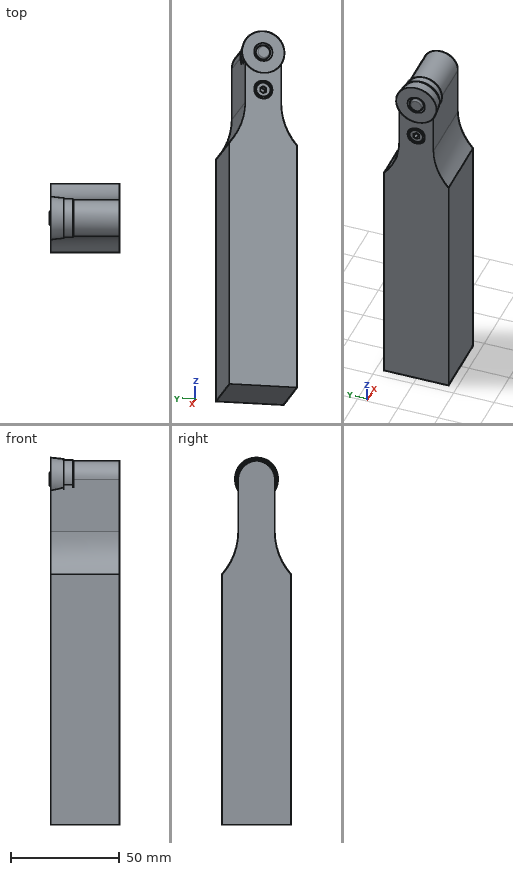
import cadquery as cq
import math

shank_size = 32.0
shank_height = 116.0
neck_width = 17.0
neck_radius = neck_width / 2
flare_radius = 30.0

insert_radius = 10.0
insert_back_radius = 9.4
insert_thickness = 6.1
shim_diameter = 17.8
shim_radius = shim_diameter / 2
shim_thickness = 4.6
shim_chamfer = 0.5
total_height = 170.0
axis_z = total_height - insert_radius

screw_diameter = 6.6
screw_radius = screw_diameter / 2
screw_length = 20.4
screw_protrusion = 0.5
screw_edge_radius = 0.7

lower_screw_z = 142.0
lower_screw_diameter = 8.0
lower_screw_radius = lower_screw_diameter / 2
lower_screw_length = 13.6
lower_screw_chamfer = 0.7
socket_corner_diameter = 3.2
socket_depth = 3.4

countersink_diameter = 8.7
countersink_radius = countersink_diameter / 2
insert_countersink_depth = 1.0
lower_countersink_depth = countersink_radius - lower_screw_radius

pocket_depth = insert_thickness + shim_thickness
half_shank = shank_size / 2
flare_width = half_shank - neck_radius
flare_angle = math.acos(1 - flare_width / flare_radius)
flare_top = shank_height + flare_radius * math.sin(flare_angle)


def cylinder(radius, start_x, length, z):
    """Cylinder along +X, centred on y = 0 at height z."""
    return cq.Workplane("YZ", origin=(start_x, 0, z)).circle(radius).extrude(length)


def cone(start_radius, end_radius, start_x, length, z):
    """Truncated cone along +X, centred on y = 0 at height z."""
    solid = cq.Solid.makeCone(
        start_radius, end_radius, length, cq.Vector(start_x, 0, z), cq.Vector(1, 0, 0)
    )
    return cq.Workplane(obj=solid)


def flare_middle(side):
    """Middle point of the concave flare on one side (+1 or -1) of the neck."""
    half_angle = flare_angle / 2
    y = neck_radius + flare_radius * (1 - math.cos(half_angle))
    z = flare_top - flare_radius * math.sin(half_angle)
    return (side * y, z)


def make_holder():
    body = (
        cq.Workplane("YZ")
        .moveTo(-half_shank, 0)
        .lineTo(half_shank, 0)
        .lineTo(half_shank, shank_height)
        .threePointArc(flare_middle(1), (neck_radius, flare_top))
        .lineTo(neck_radius, axis_z)
        .threePointArc((0, axis_z + neck_radius), (-neck_radius, axis_z))
        .lineTo(-neck_radius, flare_top)
        .threePointArc(flare_middle(-1), (-half_shank, shank_height))
        .close()
        .extrude(shank_size)
    )
    body = body.cut(cone(insert_radius, insert_back_radius, 0, insert_thickness, axis_z))
    body = body.cut(cylinder(shim_radius, 0, pocket_depth, axis_z))
    body = body.cut(cylinder(screw_radius, 0, screw_length, axis_z))
    body = body.cut(cylinder(lower_screw_radius, 0, lower_screw_length, lower_screw_z))
    return body.cut(
        cone(countersink_radius, lower_screw_radius, 0, lower_countersink_depth, lower_screw_z)
    )


def make_insert():
    body = cone(insert_radius, insert_back_radius, 0, insert_thickness, axis_z)
    body = body.cut(cylinder(screw_radius, 0, insert_thickness, axis_z))
    return body.cut(
        cone(countersink_radius, screw_radius, 0, insert_countersink_depth, axis_z)
    )


def make_shim():
    body = cylinder(shim_radius, insert_thickness, shim_thickness, axis_z)
    body = body.faces(">X").edges().chamfer(shim_chamfer)
    return body.cut(cylinder(screw_radius, insert_thickness, shim_thickness, axis_z))


def make_insert_screw():
    length = screw_length + screw_protrusion
    body = cylinder(screw_radius, -screw_protrusion, length, axis_z)
    return body.faces("<X").edges().fillet(screw_edge_radius)


def make_lower_screw():
    body = cylinder(lower_screw_radius, 0, lower_screw_length, lower_screw_z)
    body = body.faces("<X").edges().chamfer(lower_screw_chamfer)
    socket = (
        cq.Workplane("YZ", origin=(0, 0, lower_screw_z))
        .transformed(rotate=(0, 0, 90))
        .polygon(6, socket_corner_diameter)
        .extrude(socket_depth)
    )
    return body.cut(socket)


holder = make_holder()
insert = make_insert()
shim = make_shim()
insert_screw = make_insert_screw()
lower_screw = make_lower_screw()

result = cq.Compound.makeCompound(
    [holder.val(), insert.val(), shim.val(), insert_screw.val(), lower_screw.val()]
)